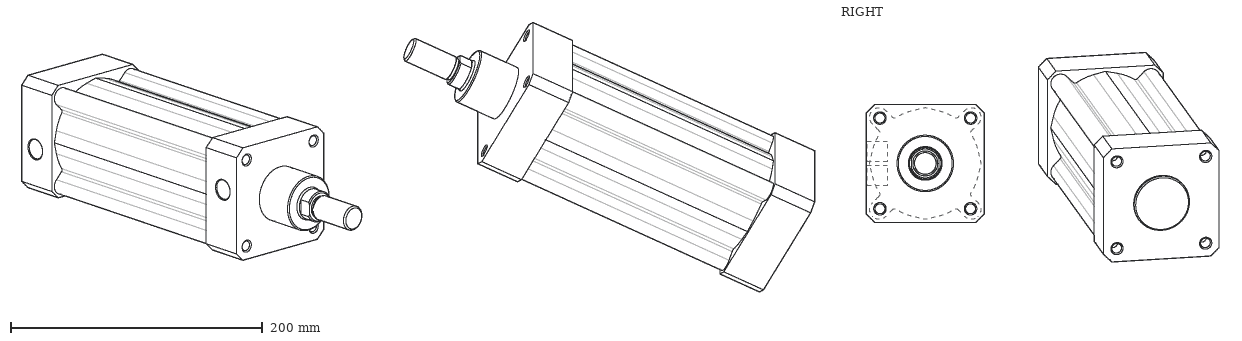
import cadquery as cq
import math

TOTAL_LENGTH = 343.0

CAP_SIDE = 94.0
CAP_LENGTH = 35.7
CAP_CORNER_CHAMFER = 7.0
REAR_BOSS_LENGTH = 3.0
BARREL_LENGTH = 181.8
BOSS_DIAMETER = 45.0
BOSS_CHAMFER = 1.0
NOSE_LENGTH = 34.3

LIP_LENGTH = 2.0
LIP_BASE_RADIUS = 13.5

SCREW_SPACING = 72.0
SCREW_DIAMETER = 8.0
SCREW_DEPTH = 16.0
SCREW_CHAMFER = 1.0

PORT_DIAMETER = 15.8
PORT_DEPTH = 17.0
PORT_CHAMFER = 0.7
PORT_OFFSET = 16.0
PORT_HEIGHT = 9.5

TUBE_RADIUS = 43.2
RIDGE_HALF_WIDTH = 9.5
COLUMN_CENTRE = 36.7
COLUMN_RADIUS = 7.5
WEB_FILLET = 2.0

ROD_DIAMETER = 25.0
ROD_CHAMFER = 1.0
FLAT_WIDTH = 22.0
NECK_DIAMETER = 18.2
NECK_LENGTH = 2.5
THREAD_DIAMETER = 20.0
THREAD_LENGTH = 37.7
THREAD_CHAMFER = 1.5

REAR_CAP_OUTER = REAR_BOSS_LENGTH
REAR_CAP_INNER = REAR_CAP_OUTER + CAP_LENGTH
FRONT_CAP_INNER = REAR_CAP_INNER + BARREL_LENGTH
FRONT_CAP_OUTER = FRONT_CAP_INNER + CAP_LENGTH
NOSE_END = FRONT_CAP_OUTER + NOSE_LENGTH
LIP_END = NOSE_END + LIP_LENGTH
THREAD_START = TOTAL_LENGTH - THREAD_LENGTH
ROD_SHOULDER = THREAD_START - NECK_LENGTH


def x_cylinder(x_start, x_end, diameter):
    """Solid cylinder on the X axis."""
    return cq.Workplane("YZ", origin=(x_start, 0, 0)).circle(diameter / 2).extrude(x_end - x_start)


def make_cap(outer_x, outward, boss_length, port_z):
    """Square cap with a round boss; outward is the X direction (+1 or -1) its outer face looks in."""
    inner_x = outer_x - outward * CAP_LENGTH
    block = (
        cq.Workplane("YZ", origin=(inner_x, 0, 0))
        .rect(CAP_SIDE, CAP_SIDE)
        .extrude(outward * CAP_LENGTH)
        .edges("|X")
        .chamfer(CAP_CORNER_CHAMFER)
    )
    boss_end = ">X" if outward > 0 else "<X"
    boss = (
        x_cylinder(outer_x, outer_x + outward * boss_length, BOSS_DIAMETER)
        .faces(boss_end)
        .chamfer(BOSS_CHAMFER)
    )
    for y_side in (-1, 1):
        for z_side in (-1, 1):
            mouth = cq.Vector(outer_x, y_side * SCREW_SPACING / 2, z_side * SCREW_SPACING / 2)
            inward = cq.Vector(-outward, 0, 0)
            block = block.cut(chamfered_hole(mouth, inward, SCREW_DIAMETER, SCREW_DEPTH, SCREW_CHAMFER))
    port_mouth = cq.Vector(outer_x - outward * PORT_OFFSET, -CAP_SIDE / 2, port_z)
    block = block.cut(chamfered_hole(port_mouth, cq.Vector(0, 1, 0), PORT_DIAMETER, PORT_DEPTH, PORT_CHAMFER))
    return block.union(boss)


def chamfered_hole(mouth, direction, diameter, depth, chamfer):
    """Cutter for a blind hole with a 45 degree chamfer at its mouth."""
    radius = diameter / 2
    bore = cq.Solid.makeCylinder(radius, depth, mouth, direction)
    countersink = cq.Solid.makeCone(radius + chamfer, radius, chamfer, mouth, direction)
    return cq.Workplane(bore.fuse(countersink))


def make_rear_cap():
    return make_cap(REAR_CAP_OUTER, -1, REAR_BOSS_LENGTH, -PORT_HEIGHT)


def make_front_cap():
    """Cap with a long nose, a conical wiper lip and a through bore for the rod."""
    cap = make_cap(FRONT_CAP_OUTER, 1, NOSE_LENGTH, PORT_HEIGHT)
    lip = cq.Solid.makeCone(
        LIP_BASE_RADIUS, ROD_DIAMETER / 2, LIP_LENGTH, cq.Vector(NOSE_END, 0, 0), cq.Vector(1, 0, 0)
    )
    return cap.union(cq.Workplane(lip)).cut(x_cylinder(FRONT_CAP_INNER, LIP_END, ROD_DIAMETER))


def make_tube():
    """Round core with a shallow ridge on each side, formed by two planes tangent to the core."""
    tangent_angle = math.asin(RIDGE_HALF_WIDTH / TUBE_RADIUS)
    tangent_distance = TUBE_RADIUS * math.cos(tangent_angle)
    peak_distance = TUBE_RADIUS / math.cos(tangent_angle)
    tube = x_cylinder(REAR_CAP_INNER, FRONT_CAP_INNER, 2 * TUBE_RADIUS)
    ridge = (
        cq.Workplane("YZ", origin=(REAR_CAP_INNER, 0, 0))
        .moveTo(0, 0)
        .lineTo(tangent_distance, -RIDGE_HALF_WIDTH)
        .lineTo(peak_distance, 0)
        .lineTo(tangent_distance, RIDGE_HALF_WIDTH)
        .close()
        .extrude(BARREL_LENGTH)
    )
    for angle in (0, 90, 180, 270):
        tube = tube.union(ridge.rotate((0, 0, 0), (1, 0, 0), angle))
    return tube


def make_column():
    """Rounded web on +Y that flares into the round core with concave fillets."""
    centre = COLUMN_CENTRE * math.sqrt(2)
    flare_y = COLUMN_RADIUS + WEB_FILLET
    flare_x = math.sqrt((TUBE_RADIUS + WEB_FILLET) ** 2 - flare_y**2)
    core_scale = TUBE_RADIUS / (TUBE_RADIUS + WEB_FILLET)
    core_x = flare_x * core_scale
    core_y = flare_y * core_scale
    web_angle = -math.pi / 2
    core_angle = -math.pi + math.atan2(flare_y, flare_x)
    middle_angle = (web_angle + core_angle) / 2
    middle_x = flare_x + WEB_FILLET * math.cos(middle_angle)
    middle_y = flare_y + WEB_FILLET * math.sin(middle_angle)
    return (
        cq.Workplane("YZ", origin=(REAR_CAP_INNER, 0, 0))
        .moveTo(0, 0)
        .lineTo(core_x, -core_y)
        .threePointArc((middle_x, -middle_y), (flare_x, -COLUMN_RADIUS))
        .lineTo(centre, -COLUMN_RADIUS)
        .threePointArc((centre + COLUMN_RADIUS, 0), (centre, COLUMN_RADIUS))
        .lineTo(flare_x, COLUMN_RADIUS)
        .threePointArc((middle_x, middle_y), (core_x, core_y))
        .close()
        .extrude(BARREL_LENGTH)
    )


def make_barrel():
    """Extruded barrel: ridged tube with a rounded column at each of the four corners."""
    barrel = make_tube()
    column = make_column()
    for angle in (45, 135, 225, 315):
        barrel = barrel.union(column.rotate((0, 0, 0), (1, 0, 0), angle))
    return barrel


def make_rod():
    """Piston rod with two wrench flats, an undercut neck and a plain thread cylinder."""
    shaft = x_cylinder(FRONT_CAP_INNER, ROD_SHOULDER, ROD_DIAMETER).faces(">X").chamfer(ROD_CHAMFER)
    flat_depth = (ROD_DIAMETER - FLAT_WIDTH) / 2
    for side in (-1, 1):
        flat_cutter = cq.Workplane("XY").box(
            ROD_SHOULDER - LIP_END, flat_depth, ROD_DIAMETER, centered=(False, True, True)
        )
        shaft = shaft.cut(flat_cutter.translate((LIP_END, side * (FLAT_WIDTH + flat_depth) / 2, 0)))
    neck = x_cylinder(ROD_SHOULDER, THREAD_START, NECK_DIAMETER)
    thread = x_cylinder(THREAD_START, TOTAL_LENGTH, THREAD_DIAMETER).faces(">X").chamfer(THREAD_CHAMFER)
    return shaft.union(neck).union(thread)


rear_cap = make_rear_cap()
barrel = make_barrel()
front_cap = make_front_cap()
rod = make_rod()

result = cq.Compound.makeCompound([rear_cap.val(), barrel.val(), front_cap.val(), rod.val()])